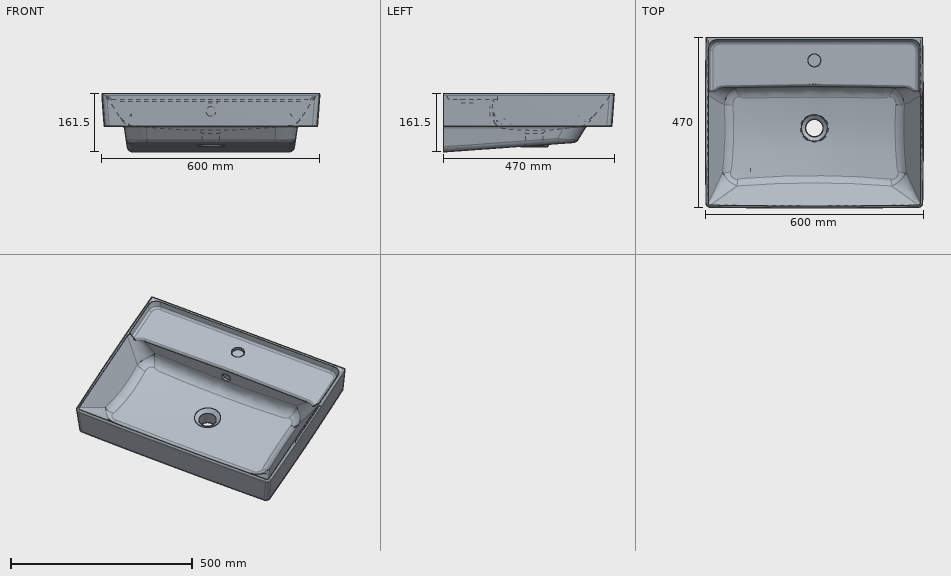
import cadquery as cq
import math


TOLERANCE = 0.05

width = 600.0
depth = 470.0
height = 161.5

body_height = 91.0
body_taper = 6.5
body_bow = 2.5
body_corner = 12.0
rim_height = 6.0
rim_fillet = 4.0
base_fillet = 3.0

bowl_depth = 105.0
bowl_top_half_width = 291.5
bowl_top_front = 461.5
bowl_top_corner = 6.0
bowl_top_bow = 2.5
bowl_top_back_corner = 21.0
bowl_floor_half_width = 225.5
bowl_floor_front = 374.5
bowl_floor_corner = 60.0
bowl_floor_bow = 5.0
bowl_back = 139.0
bowl_back_draft = 2.5
bowl_fillet = 33.0

dish_radius_across = 1800.0
dish_radius_along = 750.0
dish_drop = 102.0
barrel_half_length = 300.0

deck_depth = 17.5
deck_top_half_width = 291.0
deck_half_width = 284.5
deck_top_back = 6.5
deck_back = 14.0
deck_corner = 24.0
deck_fillet = 8.0
deck_overlap = 9.0
deck_front_round = 5.5
tap_hole_diameter = 35.5
tap_hole_y = -63.5
tap_hole_depth = 9.0

overflow_diameter = 26.5
overflow_drop = 50.0
overflow_depth = 6.0

drain_y = -249.5
drain_diameter = 47.5
drain_rim_diameter = 74.0
drain_rim_drop = 101.0
drain_seat_depth = 9.0
drain_boss_diameter = 77.5
drain_boss_drop = 148.0
drain_boss_chamfer = 3.5

under_top_half_width = 238.0
under_top_front = 392.5
under_top_corner = 60.0
under_bottom_half_width = 228.0
under_bottom_front = 348.0
under_bottom_corner = 54.0
under_rise = 25.0
under_slope = math.degrees(math.atan(under_rise / under_bottom_front))
under_fillet = 17.0
under_flare = 5.0

body_bottom = height - body_height
rim_level = height - rim_height
deck_level = height - deck_depth
floor_level = height - bowl_depth
dish_lowest = height - dish_drop
drain_rim_level = height - drain_rim_drop
drain_boss_level = height - drain_boss_drop


def outline(half_width, back, front, z, bows=(0, 0, 0), front_radius=0, back_radius=0):
    """Four-sided wire at height z.

    bows holds how far the sides, the front and the back bulge outwards at their middle.
    """
    side_bow, front_bow, back_bow = bows
    side_middle = (back + front) / 2
    corners = [(half_width, back), (half_width, front), (-half_width, front), (-half_width, back)]
    bulges = [
        (side_bow, (half_width + side_bow, side_middle)),
        (front_bow, (0, front - front_bow)),
        (side_bow, (-half_width - side_bow, side_middle)),
        (back_bow, (0, back + back_bow)),
    ]
    edges = []
    for index, (bow, crest) in enumerate(bulges):
        start = cq.Vector(*corners[index], z)
        end = cq.Vector(*corners[(index + 1) % len(corners)], z)
        if bow:
            edges.append(cq.Edge.makeThreePointArc(start, cq.Vector(*crest, z), end))
        else:
            edges.append(cq.Edge.makeLine(start, end))
    wire = cq.Wire.assembleEdges(edges)

    front_corners = [v for v in wire.Vertices() if v.Y < side_middle]
    if front_radius:
        wire = wire.fillet2D(front_radius, front_corners)
    back_corners = [v for v in wire.Vertices() if v.Y > back - TOLERANCE]
    if back_radius:
        wire = wire.fillet2D(back_radius, back_corners)
    return wire


def loft(lower, upper):
    return cq.Workplane(cq.Solid.makeLoft([lower, upper], True))


def cylinder(diameter, y, bottom, top):
    return cq.Workplane("XY", origin=(0, y, bottom)).circle(diameter / 2).extrude(top - bottom)


def make_body():
    """Tapered rectangular block with slightly bowed sides and front, flat at the wall."""
    half_width = width / 2 - body_bow
    front = -depth + body_bow
    bows = (body_bow, body_bow, 0)
    lower = outline(half_width - body_taper, 0, front + body_taper, body_bottom, bows, body_corner)
    upper = outline(half_width, 0, front, rim_level, bows, body_corner)
    block = loft(lower, upper).faces("<Z").edges("not >Y").fillet(base_fillet)
    rim = block.faces(">Z").wires().toPending().workplane().extrude(rim_height, combine=False)
    rim = rim.faces(">Z").edges("not >Y").fillet(rim_fillet)
    return block.union(rim)


def make_underside():
    """Rounded hull below the body, its bottom rising towards the front."""
    lower = outline(
        under_bottom_half_width, 0, -under_bottom_front, 0, front_radius=under_bottom_corner
    )
    upper = outline(
        under_top_half_width, 0, -under_top_front, body_bottom, front_radius=under_top_corner
    )
    below_slope = (
        cq.Workplane("XY")
        .box(2 * width, 2 * depth, height, centered=(True, True, False))
        .translate((0, 0, -height))
        .rotate((0, 0, 0), (1, 0, 0), -under_slope)
    )
    hull = loft(lower, upper).cut(below_slope)
    return hull.faces("<Z").edges("not(>Y)").fillet(under_fillet)


def make_shell():
    """Body and underside joined, with a small flare where they meet."""
    shell = make_body().union(make_underside())
    seam_box = cq.selectors.BoxSelector(
        (-under_top_half_width - TOLERANCE, -under_top_front - TOLERANCE, body_bottom - TOLERANCE),
        (under_top_half_width + TOLERANCE, -TOLERANCE, body_bottom + TOLERANCE),
        boundingbox=False,
    )
    return shell.edges(seam_box).fillet(under_flare)


def make_barrel():
    """Solid barrel along Y whose lowest flank is the gently dished bowl floor."""
    end_radius = dish_radius_across - dish_radius_along * (
        1 - math.cos(math.asin(barrel_half_length / dish_radius_along))
    )
    return (
        cq.Workplane("XY", origin=(0, drain_y, dish_lowest + dish_radius_across))
        .moveTo(0, -barrel_half_length)
        .lineTo(end_radius, -barrel_half_length)
        .threePointArc((dish_radius_across, 0), (end_radius, barrel_half_length))
        .lineTo(0, barrel_half_length)
        .close()
        .revolve(360, (0, 0, 0), (0, 1, 0))
    )


def make_bowl():
    """Cutter for the bowl, with sloping walls and a dished floor."""
    lower = outline(
        bowl_floor_half_width, -bowl_back - bowl_back_draft, -bowl_floor_front, floor_level,
        (0, bowl_floor_bow, bowl_floor_bow), bowl_floor_corner, bowl_floor_corner,
    )
    upper = outline(
        bowl_top_half_width, -bowl_back, -bowl_top_front, height,
        (0, bowl_top_bow, bowl_floor_bow), bowl_top_corner, bowl_top_back_corner,
    )
    return loft(lower, upper).intersect(make_barrel()).faces("<Z").edges().fillet(bowl_fillet)


def make_deck_recess():
    """Cutter for the shallow recess of the tap deck, reaching forward into the bowl."""
    front = -bowl_back - deck_overlap
    lower = outline(deck_half_width, -deck_back, front, deck_level, back_radius=deck_corner)
    upper = outline(deck_top_half_width, -deck_top_back, front, height, back_radius=deck_corner)
    return loft(lower, upper).faces("<Z").edges("not <Y").fillet(deck_fillet)


def round_deck_front(basin):
    """Round the edge where the deck drops into the bowl."""
    edge_box = cq.selectors.BoxSelector(
        (-TOLERANCE, -bowl_back - bowl_floor_bow, deck_level - TOLERANCE),
        (TOLERANCE, -bowl_back + 2 * bowl_floor_bow, deck_level + TOLERANCE),
    )
    return basin.edges(edge_box).fillet(deck_front_round)


def make_drain_boss():
    """Round boss under the drain, chamfered at its lower edge."""
    boss = cylinder(
        drain_boss_diameter, drain_y, drain_boss_level, drain_rim_level - drain_seat_depth
    )
    return boss.faces("<Z").edges().chamfer(drain_boss_chamfer)


def cut_drain(basin):
    """Through hole with a conical seat at the bowl floor."""
    seat_level = drain_rim_level - drain_seat_depth
    seat = cq.Workplane(
        cq.Solid.makeCone(
            drain_diameter / 2, drain_rim_diameter / 2, drain_seat_depth,
            cq.Vector(0, drain_y, seat_level),
        )
    )
    return basin.cut(cylinder(drain_diameter, drain_y, 0, height)).cut(seat)


def make_overflow():
    """Short blind hole in the middle of the bowl's back wall."""
    wall = -bowl_back + bowl_floor_bow
    plane = cq.Workplane("XZ", origin=(0, wall + overflow_depth, height - overflow_drop))
    return plane.circle(overflow_diameter / 2).extrude(2 * overflow_depth)


basin = make_shell().union(make_drain_boss())
basin = basin.cut(make_deck_recess()).cut(make_bowl())
basin = round_deck_front(basin)
tap_hole = cylinder(tap_hole_diameter, tap_hole_y, deck_level - tap_hole_depth, height)
result = cut_drain(basin).cut(tap_hole).cut(make_overflow())